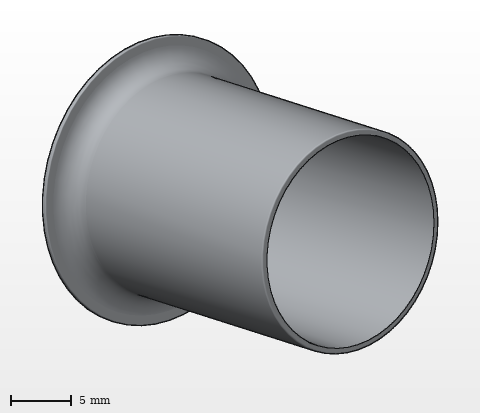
import cadquery as cq

length = 25.0
flange_diameter = 24.5
bore_diameter = 18.0
wall = 0.5
throat_radius = 2.4
rim_fillet = 0.1
end_fillet = 0.12

flange_radius = flange_diameter / 2
bore_radius = bore_diameter / 2
tube_radius = bore_radius + wall
neck_radius = throat_radius - wall


def flared_tube():
    """Revolve the wall section (X along the axis, Y radial) about the X axis."""
    section = (
        cq.Workplane("XY")
        .moveTo(length, bore_radius)
        .lineTo(throat_radius, bore_radius)
        .radiusArc((0, bore_radius + throat_radius), throat_radius)
        .lineTo(0, flange_radius - rim_fillet)
        .radiusArc((rim_fillet, flange_radius), rim_fillet)
        .lineTo(wall - rim_fillet, flange_radius)
        .radiusArc((wall, flange_radius - rim_fillet), rim_fillet)
        .lineTo(wall, tube_radius + neck_radius)
        .radiusArc((throat_radius, tube_radius), -neck_radius)
        .lineTo(length - end_fillet, tube_radius)
        .radiusArc((length, tube_radius - end_fillet), end_fillet)
        .close()
    )
    return section.revolve(360, (0, 0, 0), (1, 0, 0))


result = flared_tube()